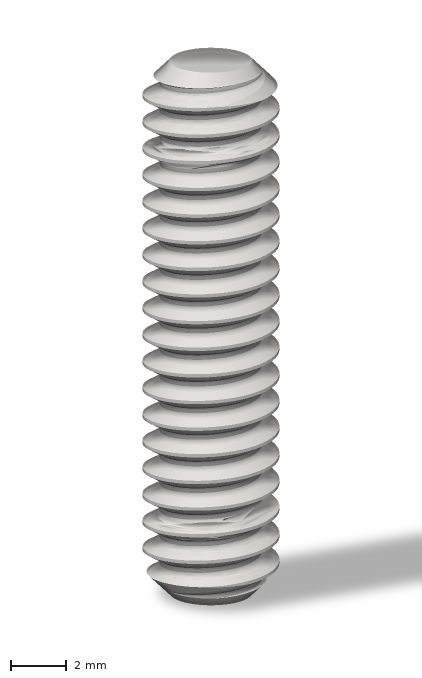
import cadquery as cq
import math

length = 20.0
major_diameter = 4.9
minor_diameter = 3.68
end_diameter = 2.95
pitch = 1.0
flank_half_angle = math.radians(30)
crest_width = pitch / 8

ridge_embed = 0.12
trim_margin = 0.2
extra_turns = 1
core_turn = 60.0

major_radius = major_diameter / 2
minor_radius = minor_diameter / 2
end_radius = end_diameter / 2
overrun = extra_turns * pitch


def core():
    """Plain cylinder at the thread root, longer than the ridge at both ends."""
    base_z = -overrun - pitch
    cylinder = cq.Workplane("XY").workplane(offset=base_z).circle(minor_radius).extrude(length - 2 * base_z)
    return cylinder.rotate((0, 0, 0), (0, 0, 1), core_turn)


def thread_ridge():
    """Right-handed 60 degree ridge with a flat crest, sunk slightly into the core."""
    base_radius = minor_radius - ridge_embed
    half_crest = crest_width / 2
    half_base = half_crest + (major_radius - base_radius) * math.tan(flank_half_angle)

    helix = cq.Wire.makeHelix(pitch, length + 2 * overrun, base_radius)
    profile = cq.Workplane("XZ").polyline([
        (base_radius, -half_base),
        (major_radius, -half_crest),
        (major_radius, half_crest),
        (base_radius, half_base),
    ]).close()
    ridge = profile.sweep(cq.Workplane(obj=helix), isFrenet=True)
    return ridge.translate((0, 0, -overrun))


def end_envelope():
    """Rod with 45 degree end cones, wide enough to touch the thread only at the ends."""
    outer_radius = major_radius + trim_margin
    cone_height = outer_radius - end_radius
    half_section = cq.Workplane("XZ").polyline([
        (0, 0),
        (end_radius, 0),
        (outer_radius, cone_height),
        (outer_radius, length - cone_height),
        (end_radius, length),
        (0, length),
    ]).close()
    envelope = half_section.revolve(360, (0, 0, 0), (0, 1, 0))
    return envelope.rotate((0, 0, 0), (0, 0, 1), core_turn)


threaded_bar = core().union(thread_ridge(), clean=False)
result = threaded_bar.intersect(end_envelope())